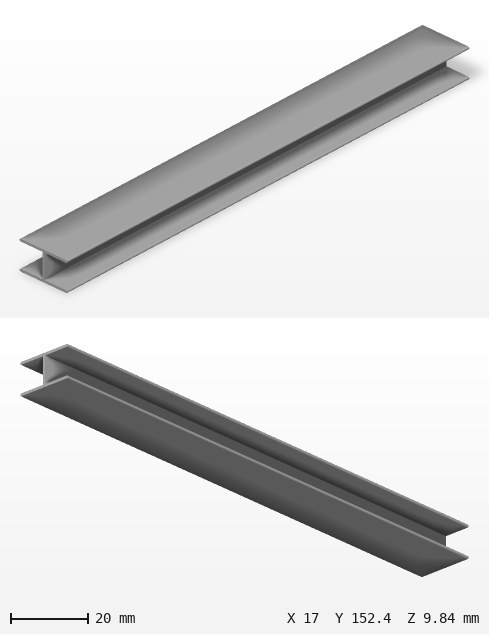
import cadquery as cq

LENGTH = 152.4
WIDTH = 16.97
HEIGHT = 9.8425
WALL_THICKNESS = 0.8255
EDGE_RADIUS = 0.4064

INNER_HALF_HEIGHT = HEIGHT / 2 - WALL_THICKNESS


def make_flange(bottom_z):
    """Flat strip lying along Y with its four long edges rounded."""
    strip = cq.Workplane("XY").box(WIDTH, LENGTH, WALL_THICKNESS, centered=(True, True, False))
    return strip.edges("|Y").fillet(EDGE_RADIUS).translate((0, 0, bottom_z))


def make_web():
    """Thin upright wall along the middle, reaching half a wall into each flange."""
    return cq.Workplane("XY").box(WALL_THICKNESS, LENGTH, HEIGHT - WALL_THICKNESS)


top_flange = make_flange(INNER_HALF_HEIGHT)
bottom_flange = make_flange(-HEIGHT / 2)
result = make_web().union(top_flange).union(bottom_flange)